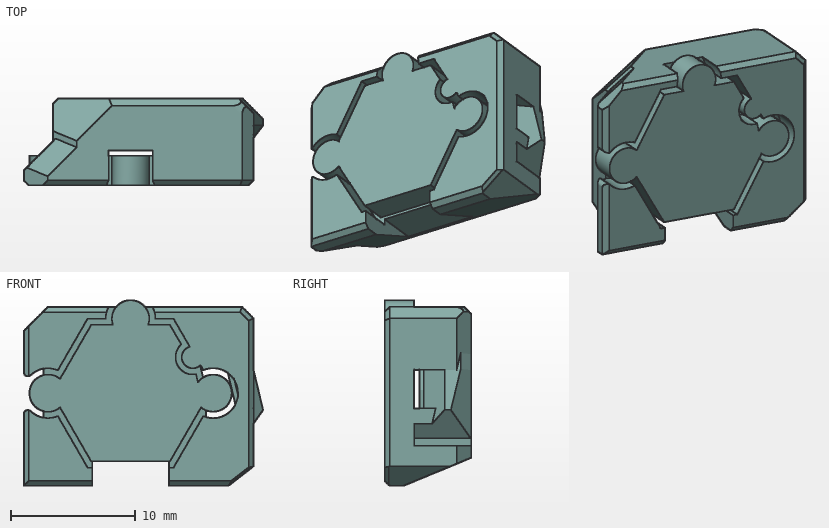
import cadquery as cq
import math


OVERALL_LENGTH = 19.3
WALL_LEFT = -8.6
WALL_RIGHT = 9.92
WALL_TOP = 6.95
WALL_BOTTOM = -7.47
DEPTH = 7.0
FRONT_CHAMFER = 0.4
BACK_TOP_CHAMFER = 0.58
TOP_RIGHT_CORNER = 0.93
LEFT_CORNER = 1.93
REAR_STEP = 2.34
LIP_THICKNESS = 1.22
LIP_CORNER_DEPTH = 0.73
REAR_CORNER_DEPTH = 3.59
REAR_LEFT_CHAMFER = 0.42
BASE_DEPTH = 1.55
BASE_SLOPE = 22.5
CORNER_WIDTH = 2.03
CORNER_HEIGHT = 1.58
CORNER_DRAFT = 26.0
CORNER_LEAD = 0.17
BACK_BEVEL = 1.2
BEVEL_ROUND = 1.0

PIECE_FLAT = 5.5
PIECE_DEPTH = 2.4
GAP = 0.5
KNOB_RADIUS = 1.5
TOP_KNOB_HEIGHT = 6.0
SIDE_KNOB_OFFSET = 6.65
KEY_DISTANCE = 5.79
KEY_RADIUS = 0.89
FLAT_ANGLE = 30.0
POCKET_DEPTH = 2.8
MOUTH_ROUND = 0.33
OPENING_HALF_WIDTH = 3.09

TILT = 13.5
TIP_X = WALL_LEFT + OVERALL_LENGTH
TIP_Z = -1.35
ARM_THICKNESS = 2.08
ARM_TOP = 3.28
ARM_FRONT = 3.15
ARM_FRONT_CHAMFER = 1.7
ARM_END_ANGLE = 55.0
ARM_CLIP = 0.3
SLOT_WIDTH = 2.0
SLOT_TOP = 2.9
SLOT_STRAIGHT_X = 6.1
SLOT_BOTTOM = -4.25
WINDOW_TOP = 1.9
WINDOW_BOTTOM = -1.24

BIG = 57.9
CLEAR = 0.96
DIAGONAL = math.sqrt(2)


def trim(body, point, normal):
    """Remove everything on the normal's side of the plane through the point."""
    plane = cq.Plane(origin=point, normal=normal)
    return body.cut(cq.Workplane(plane).rect(BIG, BIG).extrude(BIG))


def prism(points, front, back):
    """Extrude a polygon of X, Z points from one depth to another."""
    return cq.Workplane("XZ", origin=(0, front, 0)).polyline(points).close().extrude(front - back)


def disc(x, z, radius, depth):
    return cq.Workplane("XZ").center(x, z).circle(radius).extrude(-depth)


def block(x_min, x_max, z_min, z_max, depth):
    return prism([(x_min, z_min), (x_max, z_min), (x_max, z_max), (x_min, z_max)], 0, depth)


def knobbed_hexagon(flat, knob_radius, depth):
    """Return a hexagon with corners at left and right, and its three knobs as a second shape."""
    corner_diameter = 2 * flat / math.cos(math.radians(FLAT_ANGLE))
    hexagon = cq.Workplane("XZ").polygon(6, corner_diameter).extrude(-depth)
    knobs = disc(0, TOP_KNOB_HEIGHT, knob_radius, depth)
    for side in (-1, 1):
        knobs = knobs.union(disc(side * SIDE_KNOB_OFFSET, 0, knob_radius, depth))
    return hexagon, knobs


key_x = KEY_DISTANCE * math.cos(math.radians(FLAT_ANGLE))
key_z = KEY_DISTANCE * math.sin(math.radians(FLAT_ANGLE))
lean = math.tan(math.radians(TILT))
lean_normal = (math.cos(math.radians(TILT)), math.sin(math.radians(TILT)))


def arm_line(distance, z):
    """X, Z point at height z on the line lying this distance inside the arm's outer face."""
    return (TIP_X + (TIP_Z - z) * lean - distance / lean_normal[0], z)


def make_piece():
    hexagon, knobs = knobbed_hexagon(PIECE_FLAT, KNOB_RADIUS, PIECE_DEPTH)
    hexagon = hexagon.cut(disc(key_x, key_z, KEY_RADIUS + GAP, PIECE_DEPTH))
    edge_x, edge_z = arm_line(ARM_THICKNESS + SLOT_WIDTH + GAP, 0)
    hexagon = trim(hexagon, (edge_x, 0, edge_z), (lean_normal[0], 0, lean_normal[1]))
    return hexagon.union(knobs)


def stepped_left_block(left, corner_depth):
    """Block with a chamfered top-left corner and an oblique face behind that corner."""
    body = block(left, WALL_RIGHT, WALL_BOTTOM, WALL_TOP, DEPTH)
    corner_x = left + LEFT_CORNER
    body = trim(body, (corner_x, 0, WALL_TOP), (-1, 0, 1))
    return trim(body, (corner_x, corner_depth, WALL_TOP), (-1, 1, DIAGONAL))


def make_shell():
    lip = stepped_left_block(WALL_LEFT, LIP_CORNER_DEPTH)
    lip = trim(lip, (WALL_LEFT, LIP_THICKNESS, 0), (-1, 1, 0))
    lip = trim(lip, (WALL_LEFT + FRONT_CHAMFER, 0, 0), (-1, -1, 0))

    rear_left = WALL_LEFT + REAR_STEP
    rear = stepped_left_block(rear_left, REAR_CORNER_DEPTH)
    rear = trim(rear, (rear_left, DEPTH - REAR_LEFT_CHAMFER, 0), (-1, 1, 0))

    shell = lip.union(rear)
    shell = trim(shell, (0, DEPTH - BACK_TOP_CHAMFER, WALL_TOP), (0, 1, 1))
    slope = math.radians(BASE_SLOPE)
    shell = trim(shell, (0, BASE_DEPTH, WALL_BOTTOM), (0, math.sin(slope), -math.cos(slope)))
    shell = trim_right_corners(shell)
    for point, normal in (
        ((0, 0, WALL_TOP - FRONT_CHAMFER), (0, -1, 1)),
        ((0, 0, WALL_BOTTOM + FRONT_CHAMFER), (0, -1, -1)),
        ((WALL_RIGHT - FRONT_CHAMFER, 0, 0), (1, -1, 0)),
        ((WALL_RIGHT - TOP_RIGHT_CORNER, FRONT_CHAMFER, WALL_TOP), (1, -DIAGONAL, 1)),
    ):
        shell = trim(shell, point, normal)
    return shell.intersect(rounded_back_bevel())


def trim_right_corners(shell):
    shell = trim(shell, (WALL_RIGHT - TOP_RIGHT_CORNER, 0, WALL_TOP), (1, 0, 1))
    cut_start = (WALL_RIGHT - CORNER_WIDTH, 0, WALL_BOTTOM)
    length = math.hypot(CORNER_HEIGHT, CORNER_WIDTH)
    out_x = CORNER_HEIGHT / length
    out_z = -CORNER_WIDTH / length
    shell = trim(shell, cut_start, (out_x, 0, out_z))
    draft = math.tan(math.radians(CORNER_DRAFT))
    lead_start = (cut_start[0] - CORNER_LEAD * out_x, 0, cut_start[2] - CORNER_LEAD * out_z)
    return trim(shell, lead_start, (out_x, -draft, out_z))


def rounded_back_bevel():
    """Large bar at 45 degrees that gives the back right bevel.

    Its edge is rounded out to the plane of the arm's back face, then cut back to the bevel.
    """
    bar = cq.Workplane("XY").box(BIG, BIG, BIG).edges(">X and >Z").fillet(BEVEL_ROUND)
    bar = bar.translate((-BIG / 2, 0, WALL_TOP - BIG / 2)).rotate((0, 0, 0), (0, 0, 1), 45)
    bevel_y = DEPTH - BACK_BEVEL
    bar = bar.translate((WALL_RIGHT + ARM_CLIP, bevel_y, 0))
    return trim(bar, (WALL_RIGHT, bevel_y, 0), (1, 1, 0))


def left_mouth(socket_radius):
    """Flare with rounded lips where the left socket breaks through the wall."""
    lip_x = WALL_LEFT + MOUTH_ROUND
    reach = socket_radius + MOUTH_ROUND
    lip_z = math.sqrt(reach**2 - (lip_x + SIDE_KNOB_OFFSET) ** 2)
    tangent_x = -SIDE_KNOB_OFFSET + (lip_x + SIDE_KNOB_OFFSET) * socket_radius / reach
    mouth = block(WALL_LEFT, tangent_x, -lip_z, lip_z, POCKET_DEPTH)
    for side in (-1, 1):
        mouth = mouth.cut(disc(lip_x, side * lip_z, MOUTH_ROUND, POCKET_DEPTH))
    return mouth


def make_pocket():
    socket_radius = KNOB_RADIUS + GAP
    hexagon, sockets = knobbed_hexagon(PIECE_FLAT + GAP, socket_radius, POCKET_DEPTH)
    hexagon = hexagon.cut(disc(key_x, key_z, KEY_RADIUS, POCKET_DEPTH))
    return hexagon.union(sockets).union(left_mouth(socket_radius))


def make_bottom_opening():
    bottom = WALL_BOTTOM - CLEAR
    return block(-OPENING_HALF_WIDTH, OPENING_HALF_WIDTH, bottom, -PIECE_FLAT, DEPTH)


def arm_inner_end():
    """X, Z point where the arm's sloping end meets its inner face."""
    end_slope = math.tan(math.radians(ARM_END_ANGLE))
    run = ARM_THICKNESS / lean_normal[0] / (1 + end_slope * lean)
    return (TIP_X - run, TIP_Z - run * end_slope)


def make_arm():
    outline = [arm_line(0, ARM_TOP), (TIP_X, TIP_Z), arm_inner_end(), arm_line(ARM_THICKNESS, ARM_TOP)]
    arm = prism(outline, ARM_FRONT, DEPTH)
    out_x, out_z = lean_normal
    arm = trim(arm, (TIP_X, ARM_FRONT + ARM_FRONT_CHAMFER, TIP_Z), (out_x, -1, out_z))
    bevel_y = DEPTH - BACK_BEVEL
    arm = trim(arm, (WALL_RIGHT, bevel_y, ARM_TOP), (out_x, 1, out_z))
    return trim(arm, (WALL_RIGHT + ARM_CLIP, bevel_y, 0), (1, 1, 0))


def make_arm_slot():
    """Slot that frees the arm on its inner side and below its end."""
    inner = ARM_THICKNESS + SLOT_WIDTH
    bend_z = TIP_Z - (SLOT_STRAIGHT_X - arm_line(inner, TIP_Z)[0]) / lean
    outline = [
        arm_line(inner, SLOT_TOP),
        (SLOT_STRAIGHT_X, bend_z),
        (SLOT_STRAIGHT_X, SLOT_BOTTOM),
        (TIP_X, SLOT_BOTTOM),
        (TIP_X, TIP_Z),
        arm_inner_end(),
        arm_line(ARM_THICKNESS, SLOT_TOP),
    ]
    return prism(outline, PIECE_DEPTH, DEPTH)


def make_arm_window():
    """Gap in front of the arm, open through the right wall."""
    outline = [
        arm_line(ARM_THICKNESS, WINDOW_TOP),
        (TIP_X, WINDOW_TOP),
        (TIP_X, WINDOW_BOTTOM),
        arm_line(ARM_THICKNESS, WINDOW_BOTTOM),
    ]
    return prism(outline, PIECE_DEPTH, ARM_FRONT + ARM_FRONT_CHAMFER)


def make_housing():
    body = make_shell().cut(make_pocket()).cut(make_bottom_opening())
    body = body.cut(make_arm_slot()).cut(make_arm_window())
    return body.union(make_arm())


piece = make_piece()
housing = make_housing()
result = cq.Compound.makeCompound([housing.solids().val(), piece.solids().val()])